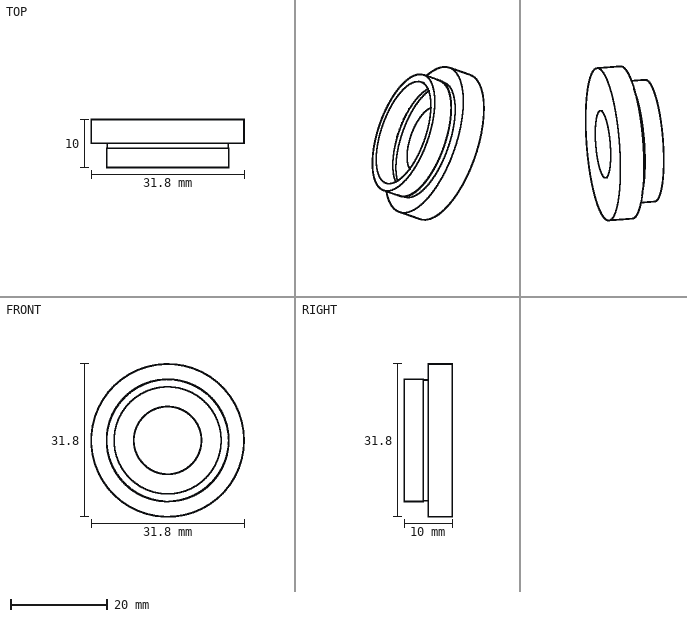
import cadquery as cq

flange_diameter = 31.75
total_length = 10.0
flange_thickness = total_length / 2
spigot_diameter = 25.4
recess_diameter = 22.22
bore_diameter = 14.0

relief_width = total_length / 10
outer_relief_depth = 0.13
inner_relief_depth = 0.4

spigot_length = total_length - flange_thickness
relief_start = spigot_length - relief_width
spigot_front = -total_length / 2


def disc(diameter, start, length):
    """Cylinder along +Y, starting at the given distance from the spigot end."""
    plane = cq.Workplane("XZ", origin=(0, spigot_front + start, 0))
    return plane.circle(diameter / 2).extrude(-length)


spigot = disc(spigot_diameter, 0, relief_start)
outer_relief = disc(spigot_diameter - 2 * outer_relief_depth, relief_start, relief_width)
flange = disc(flange_diameter, spigot_length, flange_thickness)
body = spigot.union(outer_relief).union(flange)

recess = disc(recess_diameter, 0, spigot_length)
inner_relief = disc(recess_diameter + 2 * inner_relief_depth, relief_start, relief_width)

bore = disc(bore_diameter, 0, total_length)

result = body.cut(recess).cut(inner_relief).cut(bore)